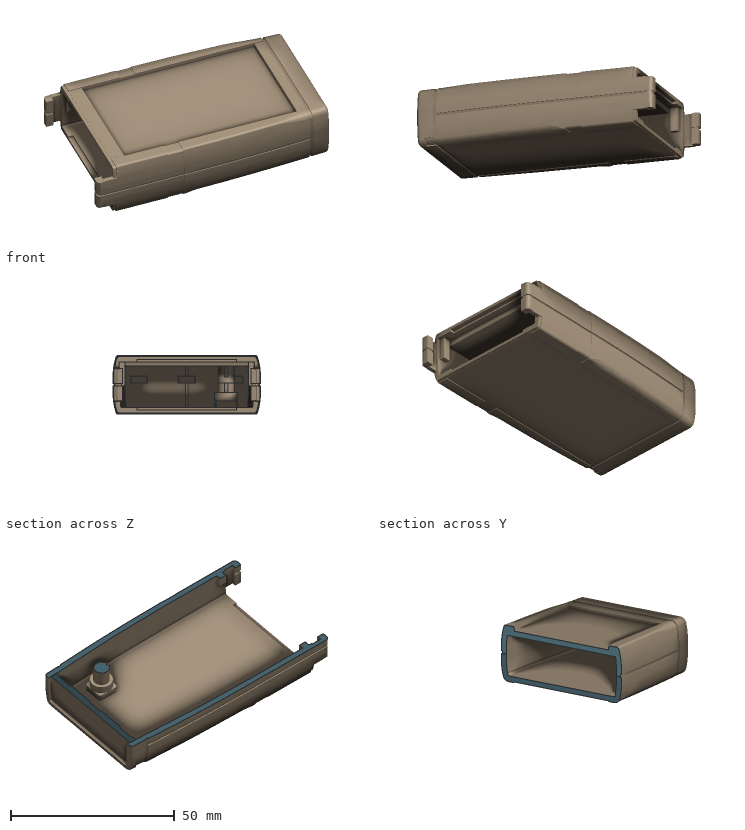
import cadquery as cq
import math

HALF_LENGTH = 38.55
HALF_WIDTH = 22.5
HALF_HEIGHT = 18.0 / 2

CAP_FRONT = 33.0
BODY_REAR = 32.0
BLEND_START = 30.85
BLEND_END = 20.8
LOWER_BLEND_START = -4.6
BAND_REAR = -10.1
BAND_FRONT = -15.1
RIM_REAR = -32.1
RIM_FRONT = -33.1

FLAT_HALF = 2.4
SIDE_RADIUS = 19.0
TAPER_STEPS = 16
TAPER_RADIUS = 638.4
SMALL_CORNER = (1.8, 0.5)
LARGE_CORNER = (2.8, 1.55)
CAP_HALF_WIDTH_FRONT = 21.0
CAP_HALF_WIDTH_REAR = 20.75
CAP_REAR_ROUND = 1.0
RING_DEPTH = 0.3
BAND_SIDE_DEPTH = 0.1
STRIP_DEPTH = 0.2
STRIP_HALF_WIDTH = 17.6

SEAM_HALF = 0.4
SEAM_DEPTH = 0.3

WALL = 2.0
CAVITY_HALF_HEIGHT = 7.0
CAVITY_CORNER = (0.9, 0.9)
CEILING_DROP = 1.3
RAMP_RUN = 0.3
LOW_CEILING_FRONT = -29.0
LOW_CEILING_REAR = 30.3

RECESS_FRONT = -27.75
RECESS_REAR = 29.1
RECESS_DEPTH = 1.15
RECESS_DRAFT = 10.0

NOTCH_HALF_WIDTH = 15.2
NOTCH_LENGTH = 1.55
NOTCH_DEPTH = 0.7
GAP_HALF_WIDTH = 20.7
STOP_INNER = 18.9
STOP_OUTER = 21.0
STOP_FRONT = -32.0
STOP_LENGTH = 2.4

HOOK_HALF_HEIGHT = 5.1
HOOK_INNER = 21.0
BARB_INNER = 19.6
BARB_LENGTH = 2.3
BARB_HALF_HEIGHT = 4.9
HOOK_ROUND = 1.2

BOSS_X = 12.0
BOSS_Y = 23.1
POST_DIAMETER = 5.0
FLANGE_DIAMETER = 7.0
POST_SPLIT = 0.58
FLANGE_TOP = -2.4
FLANGE_BOTTOM = -4.9
BLOCK_CHAMFER = 0.55
SLOT_WIDTH = 1.0
SLOT_DEPTH = 0.4
UPPER_SLOT_BOTTOM = 2.4

GRIP_REAR = 36.1
GRIP_TOP = -6.95
GRIP_INNER = -18.1
GRIP_DEPTH = 0.3

PANEL_FRONT = 35.2
PANEL_REAR = 37.55
POCKET_WIDTH = 5.25
POCKET_BOTTOM = 0.58
POCKET_TOP = 2.7
POCKET_PITCH = 14.6
POCKET_DEPTH = 1.15
POCKET_DRAFT = 10.0
RIB_WIDTH = 0.85
RIB_DEPTH = 0.8

BIG = 154.2


def box(x0, x1, y0, y1, z0, z1):
    return cq.Workplane("XY").box(x1 - x0, y1 - y0, z1 - z0, centered=False).translate((x0, y0, z0))


def body_half_width(y):
    """Straight sides at the front, then a tangent arc that narrows towards the rear."""
    run = max(0.0, y - BAND_REAR)
    return HALF_WIDTH - run**2 / (2 * TAPER_RADIUS)


def section(y, half_width, half_height, upper_corner, lower_corner):
    """Closed cross section at station y, symmetric about X = 0."""

    def side_x(z):
        return half_width - max(0.0, abs(z) - FLAT_HALF) ** 2 / (2 * SIDE_RADIUS)

    def point(x, z):
        return cq.Vector(x, y, z)

    def quarter(mirror, up, corner):
        """Side arc, corner arc and half of the top (up = 1) or bottom (up = -1) on one side."""
        width, height = corner
        shoulder = half_height - height
        middle = (FLAT_HALF + shoulder) / 2
        start = (side_x(shoulder), shoulder)
        end = (half_width - width, half_height)
        run = start[0] - end[0]
        radius = (run**2 + height**2) / (2 * height)
        half_angle = math.asin(run / radius) / 2
        crown = (
            end[0] + radius * math.sin(half_angle),
            half_height - radius * (1 - math.cos(half_angle)),
        )
        side = [(half_width, FLAT_HALF), (side_x(middle), middle), start, crown, end]
        return [point(mirror * x, up * z) for x, z in side]

    right_up = quarter(1, 1, upper_corner)
    left_up = quarter(-1, 1, upper_corner)[::-1]
    left_down = quarter(-1, -1, lower_corner)
    right_down = quarter(1, -1, lower_corner)[::-1]
    edges = []
    previous = right_down[-1]
    for run in (right_up, left_up, left_down, right_down):
        edges.append(cq.Edge.makeLine(previous, run[0]))
        edges.append(cq.Edge.makeThreePointArc(*run[:3]))
        edges.append(cq.Edge.makeThreePointArc(*run[2:]))
        previous = run[-1]
    return cq.Wire.assembleEdges(edges)


def prism(wires, ruled=True):
    return cq.Workplane(obj=cq.Solid.makeLoft(wires, ruled))


def straight(y0, y1, inset, drop, corner=SMALL_CORNER):
    """Stretch of constant section, inset at the sides and lowered at top and bottom."""
    return prism([section(y, HALF_WIDTH - inset, HALF_HEIGHT - drop, corner, corner) for y in (y0, y1)])


def corner_between(start, end, y):
    """Corner size that eases from small at station start to large at station end."""
    share = min(1.0, max(0.0, (y - start) / (end - start)))
    ease = share**2 * (3 - 2 * share)
    return tuple(small + ease * (large - small) for small, large in zip(SMALL_CORNER, LARGE_CORNER))


def tapered_body(inset):
    """Body behind the band, with corners that grow towards the rear."""
    wires = []
    for step in range(TAPER_STEPS + 1):
        y = BAND_REAR + (BODY_REAR - BAND_REAR) * step / TAPER_STEPS
        upper = corner_between(BLEND_END, BLEND_START, y)
        lower = corner_between(BAND_REAR, LOWER_BLEND_START, y)
        wires.append(section(y, body_half_width(y) - inset, HALF_HEIGHT - inset, upper, lower))
    return prism(wires, ruled=False)


def ring_groove():
    half_width = body_half_width(BODY_REAR) - RING_DEPTH
    height = HALF_HEIGHT - RING_DEPTH
    return prism([section(y, half_width, height, LARGE_CORNER, LARGE_CORNER) for y in (BODY_REAR, CAP_FRONT)])


def cap_block(inset):
    ends = ((CAP_FRONT, CAP_HALF_WIDTH_FRONT), (HALF_LENGTH, CAP_HALF_WIDTH_REAR))
    height = HALF_HEIGHT - inset
    return prism([section(y, width - inset, height, LARGE_CORNER, LARGE_CORNER) for y, width in ends])


def grip_notch():
    """Shallow notch that follows the rounded corner."""
    region = box(-HALF_WIDTH, GRIP_INNER, CAP_FRONT, GRIP_REAR, -HALF_HEIGHT, GRIP_TOP)
    return region.cut(cap_block(GRIP_DEPTH))


def cap():
    return cap_block(0).faces(">Y").edges().fillet(CAP_REAR_ROUND).cut(grip_notch())


def hooks(inset):
    """Two barbed hooks that continue the sides of the body in front of the rim."""
    tip = -HALF_LENGTH + inset
    barb_rear = BARB_LENGTH - HALF_LENGTH
    outer = HALF_WIDTH - inset
    plan = [
        (HOOK_INNER, RIM_REAR),
        (HOOK_INNER, barb_rear),
        (BARB_INNER + inset, barb_rear),
        (BARB_INNER + inset, tip),
        (outer, tip),
        (outer, RIM_REAR),
    ]
    arm = cq.Workplane("XY").polyline(plan).close().extrude(HOOK_HALF_HEIGHT, both=True)
    arm = arm.edges("|Z").edges(">X").edges("<Y").fillet(HOOK_ROUND)
    barb_limit = box(0, BIG, -BIG, barb_rear, -BARB_HALF_HEIGHT, BARB_HALF_HEIGHT)
    limit = barb_limit.union(box(0, BIG, barb_rear, BIG, -BIG, BIG))
    hook = arm.intersect(straight(tip, RIM_REAR, inset, 0)).intersect(limit)
    return hook.union(hook.mirror("YZ"))


def body_in_front_of_cap(inset):
    """Main body with its band, rim, ring groove and hooks."""
    return (
        straight(RIM_REAR, BAND_FRONT, inset, inset)
        .union(straight(BAND_FRONT, BAND_REAR, inset + BAND_SIDE_DEPTH, inset + STRIP_DEPTH))
        .union(tapered_body(inset))
        .union(straight(RIM_FRONT, RIM_REAR, RING_DEPTH, RING_DEPTH))
        .union(ring_groove())
        .union(hooks(inset))
    )


def strips():
    """Shallow lowered strips along the middle of the top and bottom faces."""
    level = HALF_HEIGHT - STRIP_DEPTH
    top = box(-STRIP_HALF_WIDTH, STRIP_HALF_WIDTH, RIM_REAR, BODY_REAR, level, BIG)
    return top.union(top.mirror("XY"))


def label_recess():
    return (
        cq.Workplane("XY", origin=(0, (RECESS_FRONT + RECESS_REAR) / 2, HALF_HEIGHT - STRIP_DEPTH))
        .rect(2 * STRIP_HALF_WIDTH, RECESS_REAR - RECESS_FRONT)
        .extrude(-RECESS_DEPTH, taper=RECESS_DRAFT)
    )


def cavity():
    """Hollow that runs from the front opening to the rear end."""
    stations = [RIM_FRONT, BAND_REAR, (BAND_REAR + BODY_REAR) / 2, HALF_LENGTH]
    wires = [
        section(y, body_half_width(y) - WALL, CAVITY_HALF_HEIGHT, CAVITY_CORNER, CAVITY_CORNER)
        for y in stations
    ]
    return prism(wires)


def low_ceiling():
    bottom = CAVITY_HALF_HEIGHT - CEILING_DROP
    return (
        cq.Workplane("YZ", origin=(-HALF_WIDTH, 0, 0))
        .polyline([
            (LOW_CEILING_FRONT, CAVITY_HALF_HEIGHT),
            (LOW_CEILING_FRONT + RAMP_RUN, bottom),
            (LOW_CEILING_REAR - RAMP_RUN, bottom),
            (LOW_CEILING_REAR, CAVITY_HALF_HEIGHT),
        ])
        .close()
        .extrude(2 * HALF_WIDTH)
    )


def rim_notches():
    outer = CAVITY_HALF_HEIGHT + NOTCH_DEPTH
    return box(-NOTCH_HALF_WIDTH, NOTCH_HALF_WIDTH, RIM_FRONT, RIM_FRONT + NOTCH_LENGTH, -outer, outer)


def panel_gap():
    """Square-cornered widening of the front opening, in the upper shell only."""
    return box(-GAP_HALF_WIDTH, GAP_HALF_WIDTH, RIM_FRONT, STOP_FRONT, -SEAM_HALF, CAVITY_HALF_HEIGHT)


def upper_region():
    """Everything above the parting: stepped up from the seam groove to mid height at the cap."""
    front = box(-BIG, BIG, -BIG, CAP_FRONT, -SEAM_HALF, BIG)
    return front.union(box(-BIG, BIG, CAP_FRONT, BIG, 0, BIG))


def seam_groove():
    slab = box(-BIG, BIG, -BIG, CAP_FRONT, -SEAM_HALF, SEAM_HALF)
    return slab.cut(body_in_front_of_cap(SEAM_DEPTH))


def housing_block():
    block = body_in_front_of_cap(0).cut(strips()).union(cap())
    hollow = cavity().cut(low_ceiling())
    return block.cut(hollow).cut(rim_notches()).cut(panel_gap()).cut(label_recess())


def cylinder(diameter, z0, z1):
    return cq.Workplane("XY", origin=(BOSS_X, BOSS_Y, z0)).circle(diameter / 2).extrude(z1 - z0)


def post_slot(z0, z1):
    front = BOSS_Y - POST_DIAMETER / 2
    return box(BOSS_X - SLOT_WIDTH / 2, BOSS_X + SLOT_WIDTH / 2, front, front + SLOT_DEPTH, z0, z1)


def upper_post():
    ceiling = CAVITY_HALF_HEIGHT - CEILING_DROP
    return cylinder(POST_DIAMETER, POST_SPLIT, ceiling).cut(post_slot(UPPER_SLOT_BOTTOM, ceiling))


def lower_post():
    sleeve = cylinder(POST_DIAMETER, FLANGE_TOP, POST_SPLIT).cut(post_slot(FLANGE_TOP, POST_SPLIT))
    flange = cylinder(FLANGE_DIAMETER, FLANGE_BOTTOM, FLANGE_TOP)
    half = FLANGE_DIAMETER / 2
    block = box(
        BOSS_X - half, BOSS_X + half, BOSS_Y - half, BOSS_Y + half, -CAVITY_HALF_HEIGHT, FLANGE_BOTTOM
    )
    return sleeve.union(flange).union(block.edges("|Z").chamfer(BLOCK_CHAMFER))


def panel_stops():
    stop = box(
        STOP_INNER, STOP_OUTER, STOP_FRONT, STOP_FRONT + STOP_LENGTH, -SEAM_HALF, CAVITY_HALF_HEIGHT
    )
    return stop.union(stop.mirror("YZ"))


def make_upper_shell(block):
    shell = block.intersect(upper_region()).cut(seam_groove())
    return shell.union(panel_stops()).union(upper_post())


def make_lower_shell(block):
    return block.cut(upper_region()).union(lower_post())


def pocket(x):
    """Blind pocket with a flat lower face; its other faces narrow towards the bottom of the pocket."""
    height = POCKET_TOP - POCKET_BOTTOM
    drafted = (
        cq.Workplane("XZ", origin=(x, PANEL_FRONT, POCKET_BOTTOM))
        .rect(POCKET_WIDTH, 2 * height)
        .extrude(-POCKET_DEPTH, taper=POCKET_DRAFT)
    )
    half = POCKET_WIDTH / 2
    mouth = box(x - half, x + half, PANEL_FRONT - RIB_DEPTH, PANEL_FRONT, POCKET_BOTTOM, POCKET_TOP)
    above = box(-BIG, BIG, -BIG, BIG, POCKET_BOTTOM, BIG)
    return drafted.intersect(above).union(mouth)


def make_rear_panel():
    """Plate filling the rear of the cavity, with a centre rib and three blind pockets."""
    plate = cavity().intersect(box(-BIG, BIG, PANEL_FRONT, PANEL_REAR, -BIG, BIG))
    rib = box(
        -RIB_WIDTH / 2, RIB_WIDTH / 2, PANEL_FRONT - RIB_DEPTH, PANEL_FRONT,
        -CAVITY_HALF_HEIGHT, CAVITY_HALF_HEIGHT,
    )
    panel = plate.union(rib)
    for step in (-1, 0, 1):
        panel = panel.cut(pocket(step * POCKET_PITCH))
    return panel


housing = housing_block()
upper_shell = make_upper_shell(housing)
lower_shell = make_lower_shell(housing)
rear_panel = make_rear_panel()

result = cq.Compound.makeCompound([*upper_shell.vals(), *lower_shell.vals(), *rear_panel.vals()])